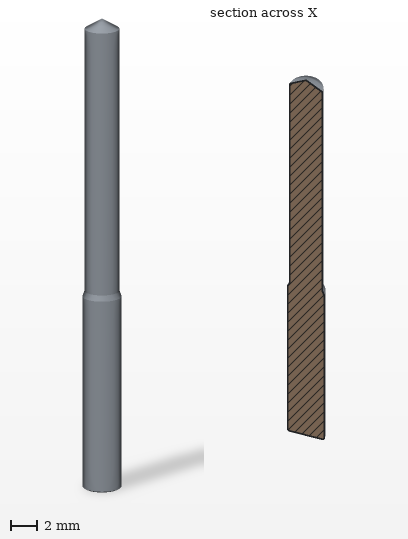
import cadquery as cq
import math

total_length = 37.5
shank_diameter = 3.0

body_diameter = 2.65
point_angle = 118.0

shank_length = 15.3
shoulder_height = 0.45
chamfer_width = 0.15
chamfer_height = 0.1

shank_radius = shank_diameter / 2
body_radius = body_diameter / 2
tip_height = body_radius / math.tan(math.radians(point_angle / 2))

profile = (
    cq.Workplane("XZ")
    .moveTo(0, 0)
    .lineTo(shank_radius - chamfer_width, 0)
    .lineTo(shank_radius, chamfer_height)
    .lineTo(shank_radius, shank_length)
    .lineTo(body_radius, shank_length + shoulder_height)
    .lineTo(body_radius, total_length - tip_height)
    .lineTo(0, total_length)
    .close()
)

result = profile.revolve(360, (0, 0, 0), (0, 1, 0))